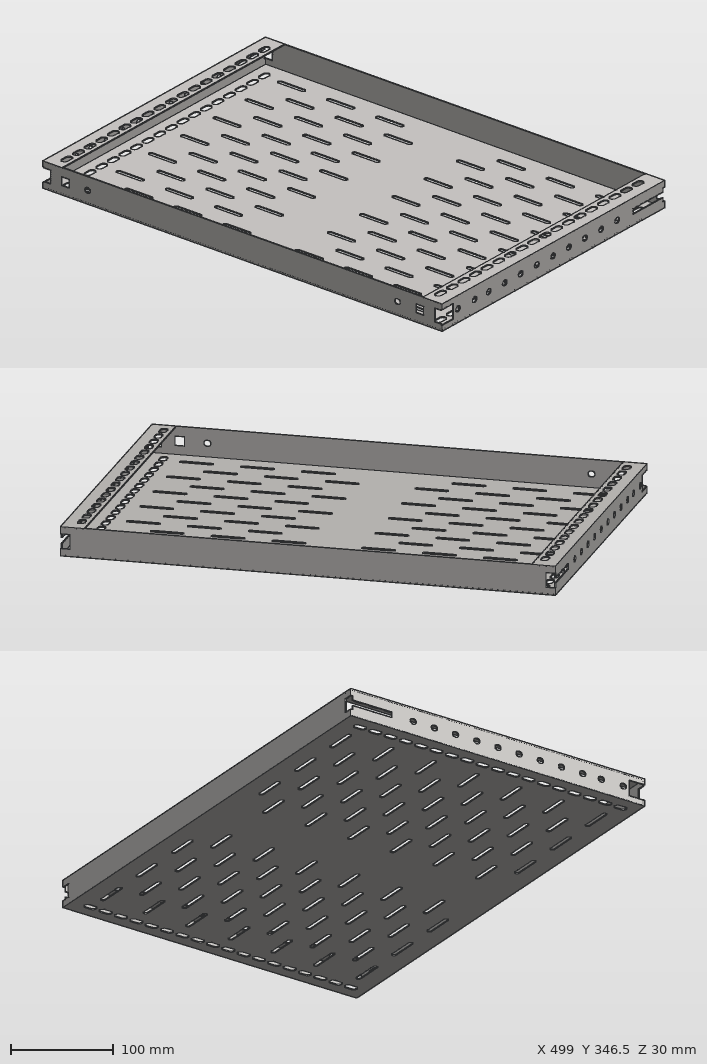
import cadquery as cq

LENGTH = 499
DEPTH = 346.5
HEIGHT = 30
THICKNESS = 1.25
MID_HEIGHT = HEIGHT / 2

FLANGE_WIDTH = 24.0

VENT_LENGTH = 34.0
VENT_WIDTH = 5.0
VENT_ROWS = 13
VENTS_PER_HALF_ROW = 3
VENT_ROW_SPAN = 301.0
VENT_PITCH = 61.5
OUTER_VENT_X = 198.5

EDGE_SLOT_LENGTH = 14.0
EDGE_SLOT_WIDTH = 7.5
EDGE_SLOT_COUNT = 18
EDGE_SLOT_SPAN = 307.0
EDGE_SLOT_INSET = 16.0
EDGE_SLOT_SHIFT = -2.0

HOLE_LENGTH = 7.0
HOLE_WIDTH = 6.0
HOLE_PITCH = 25.0
HOLE_COUNT = 9
REAR_HOLE_Y = 99.5
FRONT_HOLES_Y = (-122.5, -148.0)

REAR_SLOT_LENGTH = 49.0
FRONT_OPENING_LENGTH = 18.0
FRONT_OPENING_HEIGHT = 17.0
NOTCH_LENGTH = 9.5
NOTCH_HEIGHT = 15.0

SQUARE_SIZE = 9.5
SQUARE_INSET = 28.0
FRONT_HOLE_INSET = 56.0

CUT_REACH = 5.0


def box(x_size, y_size, z_size, x, y, z):
    """Box centred at (x, y, z)."""
    return cq.Workplane("XY").box(x_size, y_size, z_size).translate((x, y, z))


def tray():
    """Open tray with inward flanges along both sides."""
    body = box(LENGTH, DEPTH, HEIGHT, 0, 0, MID_HEIGHT)
    cavity = box(
        LENGTH - 2 * THICKNESS, DEPTH - 2 * THICKNESS, HEIGHT - 2 * THICKNESS, 0, 0, MID_HEIGHT
    )
    top_opening = box(
        LENGTH - 2 * FLANGE_WIDTH, DEPTH - 2 * THICKNESS, 2 * THICKNESS, 0, 0, HEIGHT
    )
    return body.cut(cavity).cut(top_opening)


def vent_slots():
    """Staggered rows of slots through the floor, mirrored about the middle of the tray."""
    row_pitch = VENT_ROW_SPAN / (VENT_ROWS - 1)
    points = []
    for row in range(VENT_ROWS):
        y = (row - (VENT_ROWS - 1) / 2) * row_pitch
        stagger = VENT_PITCH / 2 if row % 2 else 0
        for column in range(VENTS_PER_HALF_ROW):
            x = OUTER_VENT_X - stagger - column * VENT_PITCH
            points += [(x, y), (-x, y)]
    slots = cq.Workplane("XY").pushPoints(points).slot2D(VENT_LENGTH, VENT_WIDTH)
    return slots.extrude(CUT_REACH, both=True)


def edge_slots():
    """Line of slots along each side, through flange and floor."""
    pitch = EDGE_SLOT_SPAN / (EDGE_SLOT_COUNT - 1)
    x = LENGTH / 2 - EDGE_SLOT_INSET
    points = []
    for i in range(EDGE_SLOT_COUNT):
        y = EDGE_SLOT_SHIFT - EDGE_SLOT_SPAN / 2 + i * pitch
        points += [(x, y), (-x, y)]
    slots = cq.Workplane("XY").pushPoints(points).slot2D(EDGE_SLOT_LENGTH, EDGE_SLOT_WIDTH, 90)
    return slots.extrude(HEIGHT)


def side_holes():
    """Row of short slots through both side walls."""
    row = [REAR_HOLE_Y - i * HOLE_PITCH for i in range(HOLE_COUNT)]
    points = [(y, MID_HEIGHT) for y in row + list(FRONT_HOLES_Y)]
    slots = cq.Workplane("YZ").pushPoints(points).slot2D(HOLE_LENGTH, HOLE_WIDTH)
    return slots.extrude(LENGTH / 2, both=True)


def cut_corners(body):
    """Open both ends of the side walls and notch the ends of the front and back walls."""
    for side in (-1, 1):
        wall_x = side * (LENGTH - THICKNESS) / 2
        rear_y = (DEPTH - REAR_SLOT_LENGTH) / 2
        body = body.cut(
            box(THICKNESS, REAR_SLOT_LENGTH, HOLE_WIDTH, wall_x, rear_y, MID_HEIGHT)
        )
        front_y = (FRONT_OPENING_LENGTH - DEPTH) / 2
        body = body.cut(
            box(THICKNESS, FRONT_OPENING_LENGTH, FRONT_OPENING_HEIGHT, wall_x, front_y, MID_HEIGHT)
        )
        notch_x = side * (LENGTH - NOTCH_LENGTH) / 2
        for end in (-1, 1):
            notch_y = end * (DEPTH / 2 - THICKNESS)
            body = body.cut(
                box(NOTCH_LENGTH, 2 * THICKNESS, NOTCH_HEIGHT, notch_x, notch_y, MID_HEIGHT)
            )
    return body


def front_openings():
    """Square hole and short slot near each end of the front wall."""
    square_x = LENGTH / 2 - SQUARE_INSET
    hole_x = LENGTH / 2 - FRONT_HOLE_INSET
    front = cq.Workplane("XZ", origin=(0, -DEPTH / 2, MID_HEIGHT))
    squares = front.pushPoints([(-square_x, 0), (square_x, 0)]).rect(SQUARE_SIZE, SQUARE_SIZE)
    squares = squares.extrude(CUT_REACH, both=True)
    slots = front.pushPoints([(-hole_x, 0), (hole_x, 0)]).slot2D(HOLE_LENGTH, HOLE_WIDTH)
    slots = slots.extrude(CUT_REACH, both=True)
    return squares.union(slots)


result = cut_corners(tray())
result = result.cut(vent_slots()).cut(edge_slots()).cut(side_holes()).cut(front_openings())